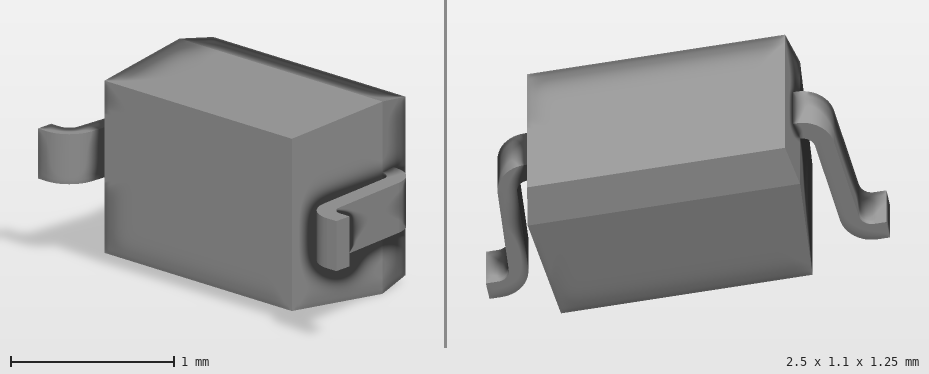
import cadquery as cq
import math

package_width = 1.7
package_depth = 1.25
package_height = 1.0
package_standoff = 0.1
upper_height = 0.255
upper_draft = 10.0
lower_draft = 5.0

package_top = package_standoff + package_height
parting_y = package_top - upper_height
lower_height = parting_y - package_standoff
upper_inset = upper_height * math.tan(math.radians(upper_draft))

lead_span = 2.5
lead_thickness = 0.12
lead_width = 0.325
inner_radius = 0.08
foot_length = 0.078
outer_radius = inner_radius + lead_thickness

band_width = 0.255
band_thickness = 0.1
band_left = -0.51
band_length = package_depth - 2 * upper_inset


def make_half(direction, height, draft):
    """Drafted half of the package, extruded from the parting plane along +Y or -Y."""
    plane = cq.Plane(origin=(0, parting_y, 0), xDir=(1, 0, 0), normal=(0, direction, 0))
    return cq.Workplane(plane).rect(package_width, package_depth).extrude(height, taper=draft)


def make_band():
    return cq.Workplane("XY").box(band_width, band_thickness, band_length).translate(
        (band_left + band_width / 2, package_top - band_thickness / 2, 0)
    )


def make_package(band):
    upper = make_half(1, upper_height, upper_draft)
    lower = make_half(-1, lower_height, lower_draft)
    return upper.union(lower).cut(band)


def make_left_lead():
    """S-bent strip whose inner end lies flush against the package's upper side face."""
    foot_end_x = -lead_span / 2
    package_edge_x = -package_width / 2
    lower_center = (foot_end_x + foot_length, outer_radius)
    upper_center = (package_edge_x, parting_y - inner_radius)

    center_dx = upper_center[0] - lower_center[0]
    center_dy = upper_center[1] - lower_center[1]
    center_angle = math.atan2(center_dx, center_dy)
    tangent_angle = math.asin((inner_radius + outer_radius) / math.hypot(center_dx, center_dy))
    lean = center_angle - tangent_angle

    lower_start = -lean
    lower_middle = (lower_start - math.pi / 2) / 2
    upper_start = math.pi - lean
    upper_middle = (upper_start + math.pi / 2) / 2

    def on_bend(center, radius, angle):
        return (center[0] + radius * math.cos(angle), center[1] + radius * math.sin(angle))

    end_slope_x = lead_thickness * math.tan(math.radians(upper_draft))
    lead_top = parting_y + lead_thickness
    return (
        cq.Workplane("XY")
        .workplane(offset=-lead_width / 2)
        .moveTo(foot_end_x, 0)
        .lineTo(lower_center[0], 0)
        .threePointArc(
            on_bend(lower_center, outer_radius, lower_middle),
            on_bend(lower_center, outer_radius, lower_start),
        )
        .lineTo(*on_bend(upper_center, inner_radius, upper_start))
        .threePointArc(
            on_bend(upper_center, inner_radius, upper_middle),
            (package_edge_x, parting_y),
        )
        .lineTo(package_edge_x + end_slope_x, lead_top)
        .lineTo(package_edge_x, lead_top)
        .threePointArc(
            on_bend(upper_center, outer_radius, upper_middle),
            on_bend(upper_center, outer_radius, upper_start),
        )
        .lineTo(*on_bend(lower_center, inner_radius, lower_start))
        .threePointArc(
            on_bend(lower_center, inner_radius, lower_middle),
            (lower_center[0], lead_thickness),
        )
        .lineTo(foot_end_x, lead_thickness)
        .close()
        .extrude(lead_width)
    )


def make_leads():
    """One lead per side, the right one turned half a revolution about the Y axis."""
    leads = []
    for turn in (0, 180):
        leads.append(make_left_lead().rotate((0, 0, 0), (0, 1, 0), turn))
    return leads


band = make_band()
package = make_package(band)
leads = make_leads()

result = cq.Compound.makeCompound([package.val(), band.val(), *[lead.val() for lead in leads]])